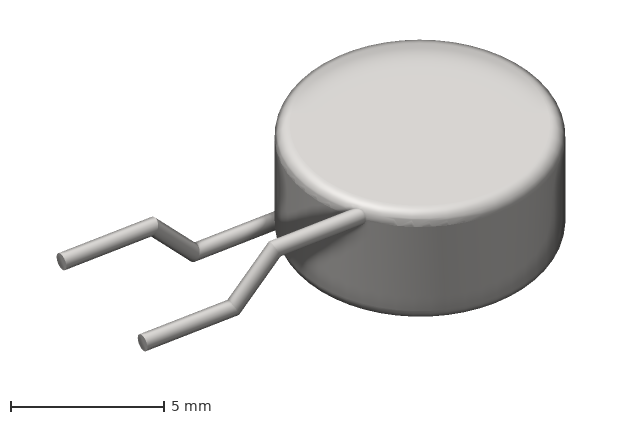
import cadquery as cq

total_length = 17.0
body_diameter = 9.5
body_thickness = 4.5
edge_radius = 0.5

lead_diameter = 0.6
lead_spacing = 5.0
lead_exit_height = 1.77
first_bend = 7.15
second_bend = 8.75
lead_end = total_length - body_diameter / 2
lead_root = body_diameter / 4


def make_body():
    disc = cq.Workplane("XY").cylinder(body_thickness, body_diameter / 2)
    return disc.faces("|Z").edges().fillet(edge_radius)


def make_lead(side):
    """Mitred wire: side -1 exits low at -X, side +1 exits high at +X; both end at mid-height."""
    x = side * lead_spacing / 2
    exit_z = side * lead_exit_height
    path = cq.Workplane("YZ", origin=(x, 0, 0)).polyline([
        (-lead_root, exit_z),
        (-first_bend, exit_z),
        (-second_bend, 0),
        (-lead_end, 0),
    ])
    section = cq.Workplane("XZ", origin=(x, -lead_root, exit_z)).circle(lead_diameter / 2)
    return section.sweep(path, transition="right")


result = make_body()
for side in (-1, 1):
    result = result.union(make_lead(side))